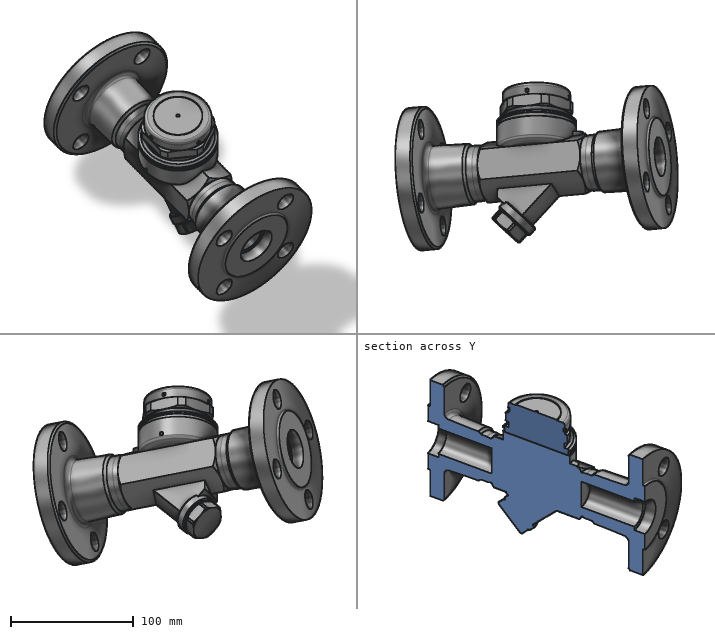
import cadquery as cq
import math

LENGTH = 210.0
HALF_LENGTH = LENGTH / 2
RAISED_FACE_HEIGHT = 2.0
RAISED_FACE_RADIUS = 32.0
RAISED_FACE_FILLET = 1.5
FLANGE_RADIUS = 117.0 / 2
FLANGE_THICKNESS = 14.0
FLANGE_CHAMFER_LENGTH = 1.5
FLANGE_CHAMFER_DEPTH = 1.9
BOLT_HOLE_DIAMETER = 16.0
BOLT_CIRCLE_DIAMETER = 89.0
BOLT_COUNT = 4

HUB_FILLET = 4.2
HUB_LARGE_RADIUS = 25.8
HUB_SMALL_RADIUS = 25.0
HUB_END_X = 55.9
WELD_CONE_END_X = 53.5
NECK_RADIUS = 46.0 / 2
NECK_ROUND_X = 48.3
NECK_ROOT_RADIUS = 22.3

PORT_DIAMETER = 32.0
PORT_DEPTH = 10.0
BORE_DIAMETER = 25.0

BLOCK_ACROSS_FLATS = 45.0
BLOCK_HALF_LENGTH = 43.7
BLOCK_CHAMFER_LENGTH = 2.3
BLOCK_CORNER_RADIUS = BLOCK_ACROSS_FLATS / math.sqrt(3)
BLOCK_CHAMFER_DEPTH = BLOCK_CORNER_RADIUS - BLOCK_ACROSS_FLATS / 2

CHAMBER_RADIUS = 65.0 / 2
CHAMBER_BOTTOM_Z = 13.5
CHAMBER_TOP_Z = 34.5
CHAMBER_ROUND = 5.0
PAD_WIDTH = 10.0
PAD_END_X = 34.6
PAD_TOP_Z = 26.9
PAD_BOTTOM_Z = 19.0

DOT_DIAMETER = 3.0
CHAMBER_DOT_Z = 20.4
CAP_DOT_Z = 58.2
CAP_DOT_COUNT = 4
CAP_DOT_DEPTH = 1.5

BRANCH_ANGLE = math.radians(45)
BRANCH_AXIS_OFFSET = 17.6
BRANCH_WIDTH = 25.0
BRANCH_END = 39.7
BRANCH_WALL_X = 29.6
COLLAR_RADIUS = 34.0 / 2
COLLAR_START = 37.0
COLLAR_END = 45.2
COLLAR_START_CHAMFER = 0.6
COLLAR_END_CHAMFER = 1.0
PLUG_ACROSS_FLATS = 29.0
PLUG_CORNER_RADIUS = 16.2
PLUG_END = 54.8
PLUG_CHAMFER_LENGTH = 0.8
PLUG_CHAMFER_DEPTH = 1.5

SEAT_RADIUS = 62.0 / 2
RIM_RADIUS = CHAMBER_RADIUS
RIM_BOTTOM_Z = 37.8
RIM_CHAMFER_Z = 39.3
RIM_TOP_Z = 40.5
RIM_TOP_RADIUS = 30.2
WAIST_RADIUS = 54.0 / 2
CAP_HEX_BOTTOM_Z = 45.0
CAP_HEX_TOP_Z = 54.8
CAP_HEX_ACROSS_FLATS = 55.0
CAP_HEX_CORNER_RADIUS = 30.0
CAP_HEX_CHAMFER_LENGTH = 1.0
CAP_HEX_CHAMFER_DEPTH = 2.5
CROWN_RADIUS = 55.5 / 2
CROWN_TOP_Z = 65.3
CROWN_ROUND = 2.7
CROWN_DISC_DIAMETER = 40.0
CROWN_DISC_HEIGHT = 0.6
TOP_Z = 66.8


def placed(solid, plane):
    """Move a solid built at the origin along Z into the given plane."""
    return cq.Workplane(solid.val().moved(cq.Location(plane)))


def hexagon_bar(across_flats, corner_radius, length, chamfer_depth, chamfer_length):
    """Hexagonal bar from Z = 0 upwards, its corners turned to a radius and chamfered at both ends."""
    bar = cq.Workplane("XY").polygon(6, across_flats * 2 / math.sqrt(3)).extrude(length)
    envelope = cq.Workplane("XY").circle(corner_radius).extrude(length)
    envelope = envelope.faces("<Z or >Z").chamfer(chamfer_length, chamfer_depth)
    return bar.intersect(envelope)


def dot(x, y, z):
    """Small ball that leaves a domed dot where it meets a surface."""
    return cq.Workplane("XY").sphere(DOT_DIAMETER / 2).translate((x, y, z))


def pipe_end():
    """Neck, welded hub and flange on the +X side."""
    flange_face_x = HALF_LENGTH - RAISED_FACE_HEIGHT
    flange_back_x = flange_face_x - FLANGE_THICKNESS
    fillet_start_x = flange_back_x - HUB_FILLET
    fillet_mid = HUB_FILLET * math.sqrt(0.5)
    raised_mid = RAISED_FACE_FILLET * (1 - math.sqrt(0.5))
    neck_curve_mid_x = (NECK_ROUND_X + BLOCK_HALF_LENGTH) / 2
    neck_curve_mid_radius = NECK_RADIUS - (NECK_RADIUS - NECK_ROOT_RADIUS) / 4
    profile = (
        cq.Workplane("XY")
        .moveTo(BLOCK_HALF_LENGTH, 0)
        .lineTo(BLOCK_HALF_LENGTH, NECK_ROOT_RADIUS)
        .threePointArc((neck_curve_mid_x, neck_curve_mid_radius), (NECK_ROUND_X, NECK_RADIUS))
        .lineTo(WELD_CONE_END_X, NECK_RADIUS)
        .lineTo(HUB_END_X, HUB_SMALL_RADIUS)
        .lineTo(fillet_start_x, HUB_LARGE_RADIUS)
        .threePointArc(
            (fillet_start_x + fillet_mid, HUB_LARGE_RADIUS + HUB_FILLET - fillet_mid),
            (flange_back_x, HUB_LARGE_RADIUS + HUB_FILLET),
        )
        .lineTo(flange_back_x, FLANGE_RADIUS - FLANGE_CHAMFER_DEPTH)
        .lineTo(flange_back_x + FLANGE_CHAMFER_LENGTH, FLANGE_RADIUS)
        .lineTo(flange_face_x, FLANGE_RADIUS)
        .lineTo(flange_face_x, RAISED_FACE_RADIUS + RAISED_FACE_FILLET)
        .threePointArc(
            (flange_face_x + raised_mid, RAISED_FACE_RADIUS + raised_mid),
            (flange_face_x + RAISED_FACE_FILLET, RAISED_FACE_RADIUS),
        )
        .lineTo(HALF_LENGTH, RAISED_FACE_RADIUS)
        .lineTo(HALF_LENGTH, 0)
        .close()
    )
    end = profile.revolve(360, (0, 0, 0), (1, 0, 0))

    face = cq.Workplane("YZ", origin=(HALF_LENGTH, 0, 0))
    bore = face.circle(BORE_DIAMETER / 2).extrude(BLOCK_HALF_LENGTH - HALF_LENGTH)
    port = face.circle(PORT_DIAMETER / 2).extrude(-PORT_DEPTH)
    bolt_holes = (
        face.polarArray(BOLT_CIRCLE_DIAMETER / 2, 45, 360, BOLT_COUNT)
        .circle(BOLT_HOLE_DIAMETER / 2)
        .extrude(-RAISED_FACE_HEIGHT - FLANGE_THICKNESS)
    )
    return end.cut(bore).cut(port).cut(bolt_holes)


def block():
    """Hexagonal block lying along X with corners at the top and bottom."""
    bar = hexagon_bar(
        BLOCK_ACROSS_FLATS,
        BLOCK_CORNER_RADIUS,
        2 * BLOCK_HALF_LENGTH,
        BLOCK_CHAMFER_DEPTH,
        BLOCK_CHAMFER_LENGTH,
    )
    return placed(bar, cq.Plane((-BLOCK_HALF_LENGTH, 0, 0), (0, 0, 1), (1, 0, 0)))


def chamber():
    """Round chamber with a rounded lower edge, a dot in front and a pad on the upstream side."""
    drum = (
        cq.Workplane("XY", origin=(0, 0, CHAMBER_BOTTOM_Z))
        .circle(CHAMBER_RADIUS)
        .extrude(CHAMBER_TOP_Z - CHAMBER_BOTTOM_Z)
        .faces("<Z")
        .edges()
        .fillet(CHAMBER_ROUND)
    )
    pad_base = cq.Workplane("XY", origin=(0, 0, PAD_BOTTOM_Z))
    pad_height = PAD_TOP_Z - PAD_BOTTOM_Z
    pad = pad_base.center(-PAD_END_X, 0).circle(PAD_WIDTH / 2).extrude(pad_height)
    pad_bridge = pad_base.center(-PAD_END_X / 2, 0).rect(PAD_END_X, PAD_WIDTH).extrude(pad_height)
    return drum.union(pad).union(pad_bridge).union(dot(0, -CHAMBER_RADIUS, CHAMBER_DOT_Z))


def branch_plane(distance):
    """Plane across the branch axis at a distance along it; local X points to the branch's lower side."""
    cos = math.cos(BRANCH_ANGLE)
    sin = math.sin(BRANCH_ANGLE)
    origin = (
        -BRANCH_AXIS_OFFSET * sin + distance * cos,
        0,
        -BRANCH_AXIS_OFFSET * cos - distance * sin,
    )
    return cq.Plane(origin, (-sin, 0, -cos), (cos, 0, -sin))


def branch():
    """Slanted leg with a ridged lower side, flat cheeks and a vertical downstream wall."""
    half_width = BRANCH_WIDTH / 2
    ridge = BRANCH_WIDTH / math.sqrt(3)
    upper_side = -BRANCH_AXIS_OFFSET - half_width
    leg = (
        cq.Workplane(branch_plane(0))
        .polyline([
            (upper_side, half_width),
            (ridge / 2, half_width),
            (ridge, 0),
            (ridge / 2, -half_width),
            (upper_side, -half_width),
        ])
        .close()
        .extrude(BRANCH_END)
    )
    beyond_wall = (
        cq.Workplane("XY")
        .box(LENGTH, LENGTH, LENGTH)
        .translate((BRANCH_WALL_X + LENGTH / 2, 0, 0))
    )
    above_axis = cq.Workplane("XY").box(LENGTH, LENGTH, LENGTH).translate((0, 0, LENGTH / 2))
    return leg.cut(beyond_wall).cut(above_axis)


def branch_plug():
    """Round collar and hexagonal head closing the branch."""
    collar = cq.Workplane("XY").circle(COLLAR_RADIUS).extrude(COLLAR_END - COLLAR_START)
    collar = collar.faces("<Z").chamfer(COLLAR_START_CHAMFER)
    collar = collar.faces(">Z").chamfer(COLLAR_END_CHAMFER)
    head = hexagon_bar(
        PLUG_ACROSS_FLATS,
        PLUG_CORNER_RADIUS,
        PLUG_END - COLLAR_END,
        PLUG_CHAMFER_DEPTH,
        PLUG_CHAMFER_LENGTH,
    )
    return placed(collar, branch_plane(COLLAR_START)).union(placed(head, branch_plane(COLLAR_END)))


def make_valve_body():
    """Block, both flanged pipe ends, chamber and strainer branch as one solid."""
    outlet = pipe_end()
    inlet = outlet.mirror("YZ")
    return block().union(outlet).union(inlet).union(chamber()).union(branch()).union(branch_plug())


def make_cap():
    """Cap standing on the chamber: seat, rim, waist, hexagon and crown."""
    core = (
        cq.Workplane("XZ")
        .moveTo(0, CHAMBER_TOP_Z)
        .lineTo(SEAT_RADIUS, CHAMBER_TOP_Z)
        .lineTo(SEAT_RADIUS, RIM_BOTTOM_Z)
        .lineTo(RIM_RADIUS, RIM_BOTTOM_Z)
        .lineTo(RIM_RADIUS, RIM_CHAMFER_Z)
        .lineTo(RIM_TOP_RADIUS, RIM_TOP_Z)
        .lineTo(WAIST_RADIUS, RIM_TOP_Z)
        .lineTo(WAIST_RADIUS, CAP_HEX_TOP_Z)
        .lineTo(0, CAP_HEX_TOP_Z)
        .close()
        .revolve(360, (0, 0, 0), (0, 1, 0))
    )

    hexagon = hexagon_bar(
        CAP_HEX_ACROSS_FLATS,
        CAP_HEX_CORNER_RADIUS,
        CAP_HEX_TOP_Z - CAP_HEX_BOTTOM_Z,
        CAP_HEX_CHAMFER_DEPTH,
        CAP_HEX_CHAMFER_LENGTH,
    ).translate((0, 0, CAP_HEX_BOTTOM_Z))

    crown = (
        cq.Workplane("XY", origin=(0, 0, CAP_HEX_TOP_Z))
        .circle(CROWN_RADIUS)
        .extrude(CROWN_TOP_Z - CAP_HEX_TOP_Z)
        .faces(">Z")
        .edges()
        .fillet(CROWN_ROUND)
        .faces(">Z")
        .workplane()
        .circle(CROWN_DISC_DIAMETER / 2)
        .extrude(CROWN_DISC_HEIGHT)
    )

    cap = core.union(hexagon).union(crown).union(dot(0, 0, TOP_Z - DOT_DIAMETER / 2))

    side_dot = (
        cq.Workplane("YZ", origin=(CROWN_RADIUS - CAP_DOT_DEPTH, 0, CAP_DOT_Z))
        .circle(DOT_DIAMETER / 2)
        .extrude(2 * CAP_DOT_DEPTH)
    )
    for index in range(CAP_DOT_COUNT):
        cap = cap.cut(side_dot.rotate((0, 0, 0), (0, 0, 1), index * 360 / CAP_DOT_COUNT))
    return cap


valve_body = make_valve_body()
cap = make_cap()

result = cq.Compound.makeCompound([valve_body.val(), cap.val()])